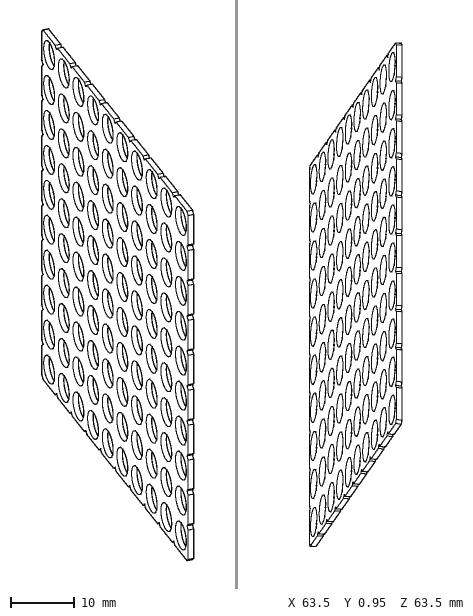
import cadquery as cq

pitch = 6.35
cells = 10
side = pitch * cells
thickness = 0.95
hole_diameter = 4.65
bevel = 0.5


def make_plate():
    """Square plate with its four corners chamfered."""
    plate = cq.Workplane("XZ").rect(side, side).extrude(thickness / 2, both=True)
    return plate.edges("|Y").chamfer(bevel)


def make_hole_cutter():
    """Cylinders for the square grid of through holes, one in each cell."""
    return (
        cq.Workplane("XZ")
        .rarray(pitch, pitch, cells, cells)
        .circle(hole_diameter / 2)
        .extrude(thickness, both=True)
    )


def make_notch_cutter():
    """Diamond prisms that leave 90 degree V notches where cell borders meet the rim."""
    borders = [pitch * i - side / 2 for i in range(1, cells)]
    centers = []
    for border in borders:
        for rim in (-side / 2, side / 2):
            centers.append((border, rim))
            centers.append((rim, border))
    diamond = (
        cq.Sketch()
        .push(centers)
        .polygon([(-bevel, 0), (0, bevel), (bevel, 0), (0, -bevel), (-bevel, 0)])
    )
    return cq.Workplane("XZ").placeSketch(diamond).extrude(thickness, both=True)


result = make_plate().cut(make_hole_cutter()).cut(make_notch_cutter())